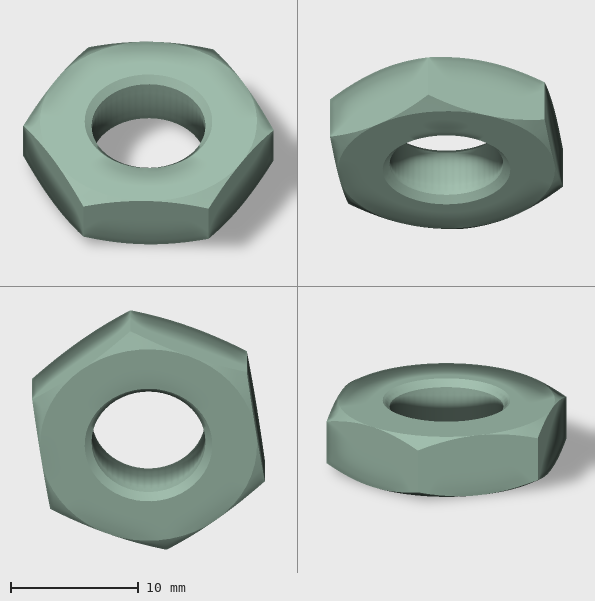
import cadquery as cq
import math

across_flats = 17.0
height = 5.0
bore_diameter = 8.92
countersink_diameter = 10.0
countersink_angle = 45.0
corner_chamfer_angle = 30.0

side_count = 6
quarter_turn = 90.0
across_corners = across_flats / math.cos(math.pi / side_count)
flat_radius = across_flats / 2
corner_radius = across_corners / 2
bore_radius = bore_diameter / 2
countersink_radius = countersink_diameter / 2
countersink_depth = (countersink_radius - bore_radius) * math.tan(math.radians(countersink_angle))
corner_drop = (corner_radius - flat_radius) * math.tan(math.radians(corner_chamfer_angle))


def hexagon_prism():
    """Hexagonal blank with flats facing +X and -X and corners on the Y axis."""
    blank = cq.Workplane("XY").polygon(side_count, across_corners).extrude(height)
    return blank.rotate((0, 0, 0), (0, 0, 1), quarter_turn)


def turned_profile():
    """Ring whose outer cones bevel the hexagon corners and whose bore is countersunk at both ends."""
    return (
        cq.Workplane("XZ")
        .moveTo(countersink_radius, 0)
        .lineTo(flat_radius, 0)
        .lineTo(corner_radius, corner_drop)
        .lineTo(corner_radius, height - corner_drop)
        .lineTo(flat_radius, height)
        .lineTo(countersink_radius, height)
        .lineTo(bore_radius, height - countersink_depth)
        .lineTo(bore_radius, countersink_depth)
        .close()
        .revolve(360, (0, 0, 0), (0, 1, 0))
    )


result = hexagon_prism().intersect(turned_profile())